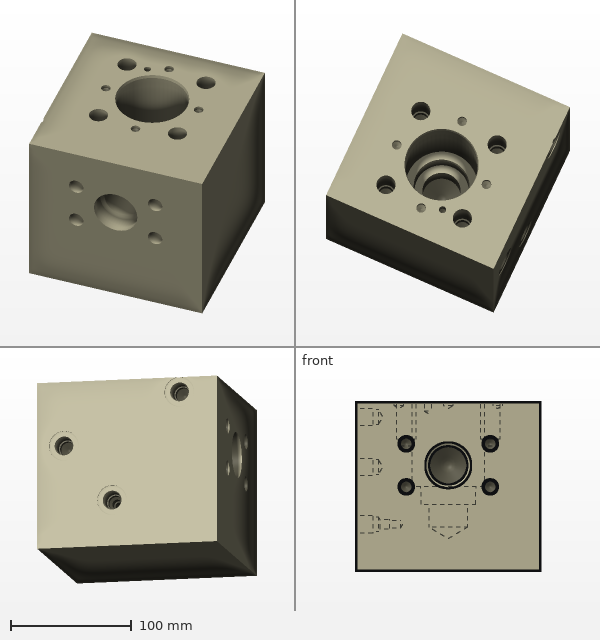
import cadquery as cq
import math

SIDE = 152.4
HEIGHT = 139.8
HALF = SIDE / 2

DRILL_TIP_ANGLE = 118

UP = (0, 0, 1)
FRONT = (0, -1, 0)
LEFT = (-1, 0, 0)

CAVITY_Y = 12.8
CAVITY_LEAD_DIA = 61.4
CAVITY_LEAD_DEPTH = 2.5
CAVITY_UPPER_DIA = 60.0
CAVITY_UPPER_DEPTH = 70.0
CAVITY_LOWER_LEAD_DIA = 46.3
CAVITY_LOWER_LEAD_DEPTH = 2.5
CAVITY_LOWER_DIA = 45.0
CAVITY_LOWER_DEPTH = 85.0
PASSAGE_DIA = 31.7
CAVITY_DRILL_DEPTH = 103.6

COVER_BOLT_PITCH = 69.5
COVER_BOLT_THREAD_DIA = 15.8
COVER_BOLT_THREAD_DEPTH = 30.5
COVER_BOLT_DRILL_DIA = 13.4
COVER_BOLT_DRILL_DEPTH = 36.5
PILOT_RADIUS = 40.8
PILOT_DIA = 8.0
PILOT_DEPTH = 3
PIN_X = -16.8
PIN_DIA = 6.0
PIN_DEPTH = 7.6

FLANGE_PORT_Z = HEIGHT - 52.5
FLANGE_PORT_DIA = 38.1
FLANGE_PORT_DEPTH = 15.0
FLANGE_DRILL_DEPTH = 45.7
FLANGE_BOLT_PITCH_X = 69.5
FLANGE_BOLT_PITCH_Z = 35.7
FLANGE_BOLT_THREAD_DIA = 12.6
FLANGE_BOLT_THREAD_DEPTH = 24.4
FLANGE_BOLT_DRILL_DIA = 10.7
FLANGE_BOLT_DRILL_DEPTH = 30.5

UPPER_PORT = (-44.3, HEIGHT - 12.3)
REAR_PORT = (53.6, HEIGHT - 53.8)
LOWER_PORT = (CAVITY_Y, HEIGHT - 101.2)
SPOTFACE_DIA = 25.0
SPOTFACE_DEPTH = 0.8
SEAL_CONE_DIA = 15.8
SEAL_CONE_DEPTH = 3.2
PORT_THREAD_DIA = 14.3
PORT_THREAD_DEPTH = 13.7
PORT_DRILL_DIA = 12.3
PORT_DRILL_DEPTH = 18.3
ORIFICE_DIA = 8.0
ORIFICE_DEPTH = 27.5
ORIFICE_DRILL_DIA = 6.4
ORIFICE_DRILL_DEPTH = 36.5


def tip_height(diameter):
    """Height of a drill-point cone of the given base diameter."""
    return diameter / 2 / math.tan(math.radians(DRILL_TIP_ANGLE / 2))


def shoulder_end(large_dia, small_dia, depth):
    """Depth at which a drill-point shoulder starting at depth has narrowed to small_dia."""
    return depth + tip_height(large_dia - small_dia)


def bore(profile, position, outward):
    """Turned cutter entering at position, with a drill point at its end.

    The profile lists (diameter, depth) corners from the mouth inward.
    """
    end_dia, end_depth = profile[-1]
    corners = [(diameter / 2, -depth) for diameter, depth in profile]
    tip = (0, -end_depth - tip_height(end_dia))
    outline = cq.Workplane("XZ").polyline([(0, 0)] + corners + [tip]).close()
    cutter = outline.revolve(360, (0, 0), (0, 1)).val()
    return cutter.moved(cq.Location(cq.Plane(position, normal=outward)))


def step(diameter, start, end):
    """Two profile corners of a cylindrical step."""
    return [(diameter, start), (diameter, end)]


def rectangle_corners(pitch_a, pitch_b):
    return [(a * pitch_a / 2, b * pitch_b / 2) for a in (-1, 1) for b in (-1, 1)]


def cavity():
    lower_lead_end = CAVITY_UPPER_DEPTH + CAVITY_LOWER_LEAD_DEPTH
    profile = (
        [(CAVITY_LEAD_DIA, 0)]
        + step(CAVITY_UPPER_DIA, CAVITY_LEAD_DEPTH, CAVITY_UPPER_DEPTH)
        + [(CAVITY_LOWER_LEAD_DIA, CAVITY_UPPER_DEPTH)]
        + step(CAVITY_LOWER_DIA, lower_lead_end, CAVITY_LOWER_DEPTH)
        + step(PASSAGE_DIA, CAVITY_LOWER_DEPTH, CAVITY_DRILL_DEPTH)
    )
    return bore(profile, (0, CAVITY_Y, HEIGHT), UP)


def cover_holes():
    bolt_profile = (
        step(COVER_BOLT_THREAD_DIA, 0, COVER_BOLT_THREAD_DEPTH)
        + step(COVER_BOLT_DRILL_DIA, COVER_BOLT_THREAD_DEPTH, COVER_BOLT_DRILL_DEPTH)
    )
    holes = [
        bore(bolt_profile, (x, CAVITY_Y + y, HEIGHT), UP)
        for x, y in rectangle_corners(COVER_BOLT_PITCH, COVER_BOLT_PITCH)
    ]
    for x, y in ((1, 0), (0, 1), (-1, 0), (0, -1)):
        position = (x * PILOT_RADIUS, CAVITY_Y + y * PILOT_RADIUS, HEIGHT)
        holes.append(bore(step(PILOT_DIA, 0, PILOT_DEPTH), position, UP))
    pin_position = (PIN_X, CAVITY_Y + COVER_BOLT_PITCH / 2, HEIGHT)
    holes.append(bore(step(PIN_DIA, 0, PIN_DEPTH), pin_position, UP))
    return holes


def flange_port():
    passage_start = shoulder_end(FLANGE_PORT_DIA, PASSAGE_DIA, FLANGE_PORT_DEPTH)
    port_profile = (
        step(FLANGE_PORT_DIA, 0, FLANGE_PORT_DEPTH)
        + step(PASSAGE_DIA, passage_start, FLANGE_DRILL_DEPTH)
    )
    bolt_profile = (
        step(FLANGE_BOLT_THREAD_DIA, 0, FLANGE_BOLT_THREAD_DEPTH)
        + step(FLANGE_BOLT_DRILL_DIA, FLANGE_BOLT_THREAD_DEPTH, FLANGE_BOLT_DRILL_DEPTH)
    )
    holes = [bore(port_profile, (0, -HALF, FLANGE_PORT_Z), FRONT)]
    for x, z in rectangle_corners(FLANGE_BOLT_PITCH_X, FLANGE_BOLT_PITCH_Z):
        holes.append(bore(bolt_profile, (x, -HALF, FLANGE_PORT_Z + z), FRONT))
    return holes


def pilot_ports():
    profile = (
        step(SPOTFACE_DIA, 0, SPOTFACE_DEPTH)
        + [(SEAL_CONE_DIA, SPOTFACE_DEPTH)]
        + step(PORT_THREAD_DIA, SEAL_CONE_DEPTH, PORT_THREAD_DEPTH)
        + step(PORT_DRILL_DIA, PORT_THREAD_DEPTH, PORT_DRILL_DEPTH)
    )
    orifice_start = shoulder_end(PORT_DRILL_DIA, ORIFICE_DIA, PORT_DRILL_DEPTH)
    orifice_profile = (
        profile
        + step(ORIFICE_DIA, orifice_start, ORIFICE_DEPTH)
        + step(ORIFICE_DRILL_DIA, ORIFICE_DEPTH, ORIFICE_DRILL_DEPTH)
    )
    ports = ((UPPER_PORT, profile), (REAR_PORT, profile), (LOWER_PORT, orifice_profile))
    return [bore(shape, (-HALF, y, z), LEFT) for (y, z), shape in ports]


result = cq.Workplane("XY").box(SIDE, SIDE, HEIGHT, centered=(True, True, False))
for cutter in [cavity()] + cover_holes() + flange_port() + pilot_ports():
    result = result.cut(cq.Workplane(cutter))